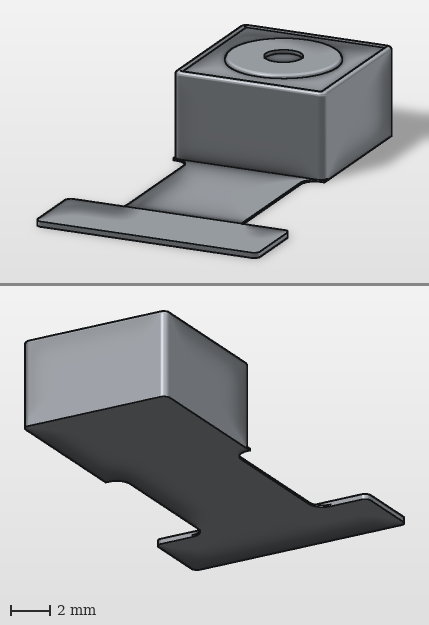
import cadquery as cq
import math

total_length = 21
total_height = 4.91

body_side = 8.5
body_corner_radius = 0.35

lens_diameter = 6.0
lens_height = 0.2
lens_edge_radius = 0.19
aperture_diameter = 2.0

rim_radius = 0.2
rim_width = body_corner_radius

board_width = 12.5
board_length = 4
board_thickness = 0.3
board_corner_radius = 0.34

strip_width = 6.55
strip_thickness = 0.1
strip_flare_radius = 0.8

body_center_y = (total_length - body_side) / 2
body_front_y = body_center_y - body_side / 2
board_center_y = (board_length - total_length) / 2
board_back_y = board_center_y + board_length / 2
body_top_z = total_height - lens_height
rim_inner_rise = math.sqrt(rim_radius**2 - (rim_width - rim_radius) ** 2)
rim_base_z = body_top_z - rim_inner_rise
top_field_side = body_side - 2 * rim_width


def rim_profile(workplane):
    """Rim section, drawn from the axis of a body corner outwards along local -x."""
    arc_center_x = rim_radius - rim_width
    return (
        workplane.moveTo(0, 0)
        .lineTo(-rim_width, 0)
        .threePointArc((arc_center_x, rim_radius), (0, rim_inner_rise))
        .close()
    )


def make_rim_side():
    """One straight stretch of the rim and the rounded corner at its front end, on the -X side."""
    corner = (-top_field_side / 2, -top_field_side / 2, rim_base_z)
    section_plane = cq.Workplane("XZ", origin=corner)
    straight = rim_profile(section_plane).extrude(-top_field_side)
    rounded = rim_profile(section_plane).revolve(90, (0, 0), (0, 1))
    return straight.union(rounded)


def make_body():
    """Square block with rounded upright edges, a rounded rim and a shallow recessed top."""
    body = (
        cq.Workplane("XY")
        .rect(body_side, body_side)
        .extrude(rim_base_z)
        .edges("|Z")
        .fillet(body_corner_radius)
    )
    top_field = cq.Workplane("XY").rect(top_field_side, top_field_side).extrude(body_top_z)
    body = body.union(top_field)
    rim_side = make_rim_side()
    for quarter in range(4):
        body = body.union(rim_side.rotate((0, 0, 0), (0, 0, 1), 90 * quarter))
    return body.translate((0, body_center_y, 0))


def make_lens():
    """Low round disc with a rounded outer edge and a round aperture through it."""
    return (
        cq.Workplane("XY", origin=(0, body_center_y, body_top_z))
        .circle(lens_diameter / 2)
        .extrude(lens_height)
        .faces(">Z")
        .edges()
        .fillet(lens_edge_radius)
        .faces(">Z")
        .workplane()
        .hole(aperture_diameter)
    )


def make_board():
    """Flat rectangular plate with rounded corners."""
    return (
        cq.Workplane("XY", origin=(0, board_center_y, 0))
        .rect(board_width, board_length)
        .extrude(board_thickness)
        .edges("|Z")
        .fillet(board_corner_radius)
    )


def make_strip():
    """Thin strip with concave flares at both ends; its square end lies within the body's base."""
    half_width = strip_width / 2
    half_end = body_side / 2
    half_flare = half_width + strip_flare_radius
    board_tangent_y = board_back_y + strip_flare_radius
    body_tangent_y = body_front_y - strip_flare_radius
    half_strip = (
        cq.Workplane("XY")
        .moveTo(0, board_back_y)
        .lineTo(half_flare, board_back_y)
        .radiusArc((half_width, board_tangent_y), strip_flare_radius)
        .lineTo(half_width, body_tangent_y)
        .radiusArc((half_flare, body_front_y), strip_flare_radius)
        .lineTo(half_end, body_front_y)
        .lineTo(half_end, body_center_y)
        .lineTo(0, body_center_y)
        .close()
        .extrude(strip_thickness)
    )
    return half_strip.union(half_strip.mirror("YZ"))


result = (
    make_body()
    .union(make_lens())
    .union(make_strip())
    .union(make_board())
)